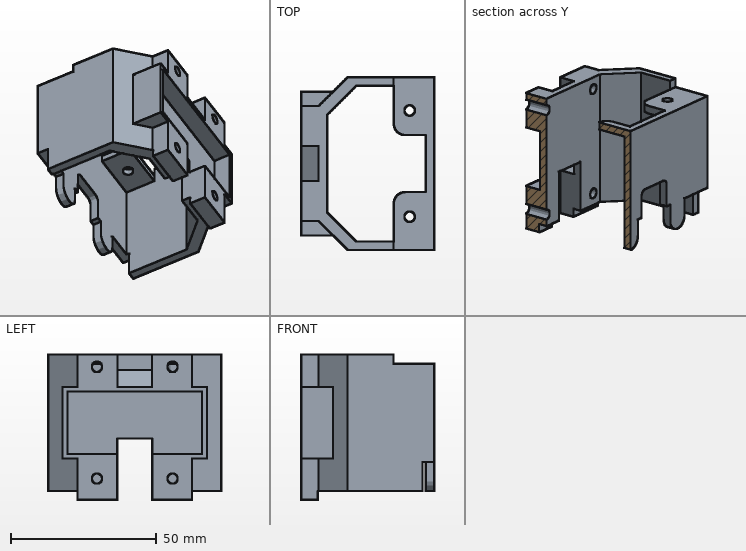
import cadquery as cq

wall = 3.0
hole_diameter = 3.5

pad_depth = 6.0
length = 45.8
width = 59.5
height = 50.0
front_chamfer = 10.0
housing_bottom = wall
housing_height = height - housing_bottom

pad_width = width - 2 * front_chamfer
leg_depth = 5.8
pad_hole_y = 13.0
pad_hole_z = (7.3, 45.7)

tray_rim = 1.6
tray_pocket_width = 46.3
tray_pocket_height = 21.4
tray_width = tray_pocket_width + 2 * tray_rim
tray_height = tray_pocket_height + 2 * tray_rim
tray_centre_z = housing_bottom + housing_height / 2
tray_bottom = tray_centre_z - tray_height / 2
tray_top = tray_centre_z + tray_height / 2
tray_reach = front_chamfer + wall

slot_width = 12.0
slot_top = 21.0
ramp_rise = 5.8

ear_length = 14.0
ear_width = 20.0
ear_thickness = 2.8
ear_drop = 3.2
ear_top = height - ear_drop
ear_corner_radius = 4.0
ear_hole_from_rear = 8.5
ear_hole_from_side = 11.5

notch_top = 13.0
notch_length = 4.0
tab_radius = 4.0
tab_y = pad_hole_y
rear_slot_width = 14.0
rear_slot_top = 23.0
rear_slot_corner_radius = 2.0


def box(x_range, y_range, z_range):
    """Axis-aligned box between the given limits."""
    (x0, x1), (y0, y1), (z0, z1) = x_range, y_range, z_range
    return cq.Workplane("XY").box(x1 - x0, y1 - y0, z1 - z0, centered=False).translate((x0, y0, z0))


def centred_box(x_range, y_size, z_range):
    """Box that is symmetric about the XZ plane."""
    return box(x_range, (-y_size / 2, y_size / 2), z_range)


def chamfered_prism(inset):
    """Full-height prism inset from the housing outline, with 45 degree front corners."""
    prism = centred_box(
        (pad_depth + inset, length - inset), width - 2 * inset, (housing_bottom, height)
    )
    return prism.edges("|Z and <X").chamfer(front_chamfer)


def x_cylinder(x_range, y, z, radius):
    """Cylinder along X."""
    x0, x1 = x_range
    return cq.Workplane("YZ", origin=(x0, y, z)).circle(radius).extrude(x1 - x0)


def make_ear(side):
    """Flat screw ear in one rear top corner; side is +1 or -1 along Y."""
    inner_y = side * (width / 2 - ear_width)
    outer_y = side * (width / 2)
    ear = box(
        (length - ear_length, length),
        (min(inner_y, outer_y), max(inner_y, outer_y)),
        (ear_top - ear_thickness, ear_top),
    )
    inner_corner = cq.selectors.NearestToPointSelector(
        (length - ear_length, inner_y, ear_top - ear_thickness / 2)
    )
    return ear.edges(inner_corner).fillet(ear_corner_radius)


def make_ear_hole(side):
    """Vertical screw hole through one ear."""
    hole_x = length - ear_hole_from_rear
    hole_y = side * (width / 2 - ear_hole_from_side)
    top_face = cq.Workplane("XY", origin=(hole_x, hole_y, ear_top))
    return top_face.circle(hole_diameter / 2).extrude(-ear_thickness)


def make_tab(side):
    """Round-ended tab hanging from the rear wall between the side notches."""
    rear = (length - wall, length)
    round_centre_z = housing_bottom + tab_radius
    shank_y = (side * tab_y - tab_radius, side * tab_y + tab_radius)
    shank = box(rear, shank_y, (round_centre_z, notch_top))
    return shank.union(x_cylinder(rear, side * tab_y, round_centre_z, tab_radius))


def make_ramp_pocket():
    """Pocket between the upper pads, its floor rising from the tray top towards the rear."""
    return (
        cq.Workplane("XZ", origin=(0, slot_width / 2, 0))
        .moveTo(0, tray_top)
        .lineTo(pad_depth, tray_top + ramp_rise)
        .lineTo(pad_depth, height)
        .lineTo(0, height)
        .close()
        .extrude(slot_width)
    )


body = chamfered_prism(0)
body = body.union(centred_box((0, pad_depth), pad_width, (housing_bottom, height)))
body = body.union(centred_box((0, leg_depth), pad_width, (0, housing_bottom)))
body = body.union(centred_box((0, tray_reach), tray_width, (tray_bottom, tray_top)))
body = body.cut(chamfered_prism(wall))
body = body.cut(centred_box((0, pad_depth), tray_pocket_width, (tray_bottom + tray_rim, tray_top - tray_rim)))

body = body.cut(make_ramp_pocket())
body = body.cut(centred_box((0, pad_depth + wall), slot_width, (0, slot_top)))

body = body.cut(centred_box((length - ear_length, length), width, (ear_top, height)))
body = body.cut(centred_box((length - notch_length, length), width, (housing_bottom, notch_top)))
rear_slot = centred_box((length - wall, length), rear_slot_width, (housing_bottom, rear_slot_top))
body = body.cut(rear_slot.edges("|X and >Z").fillet(rear_slot_corner_radius))

for side in (1, -1):
    body = body.union(make_ear(side)).cut(make_ear_hole(side))
    body = body.union(make_tab(side))
    for z in pad_hole_z:
        body = body.cut(x_cylinder((0, pad_depth + wall), side * pad_hole_y, z, hole_diameter / 2))

result = body